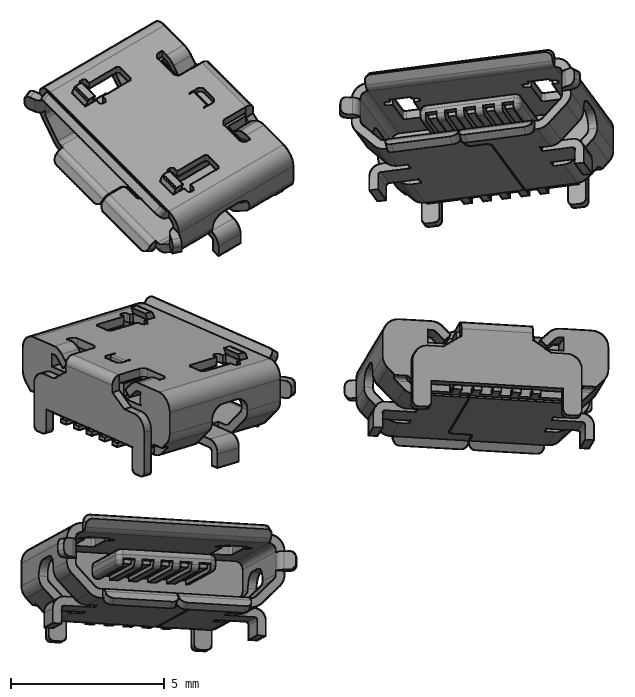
import math

import cadquery as cq

sheet = 0.3
shell_half_width = 3.74
shell_height = 2.45
shell_length = 4.7
bend_radius = 0.55
inner_bend_radius = bend_radius - sheet
lower_corner_z = 0.92
wall_slope = 45.0
bore_top = shell_height - sheet
bore_bottom = sheet
setback_ratio = math.tan(math.radians(wall_slope / 2))
floor_half_width = shell_half_width - lower_corner_z / math.tan(math.radians(wall_slope))
floor_tangent_x = floor_half_width - bend_radius * setback_ratio

lip_angle = 52.8
lip_length = 0.314
top_lip_half_width = 3.19
top_lip_corner = 0.2
bottom_lip_half_width = 2.5
bottom_lip_corner = 0.24
side_lip_angle = 67.0
side_lip_length = 0.391
side_lip_width = 0.61
side_lip_corner = 0.2
side_lip_z = 1.555

leg_bottom = -0.6
side_leg_outer_x = 3.657
side_leg_front = 1.69
side_leg_back = 2.602
side_leg_bend = 0.4
leg_root_x = 2.25

cutout_front = 1.398
cutout_back = 2.894
cutout_top = 1.64
cutout_corner = 0.47

seam_gap = 0.03
seam_jog_y = 0.63
seam_jog_x = 0.81
seam_corner = 0.18
floor_end = 4.4
floor_notch_top = 0.527
floor_notch_corner = 0.1

window_center_x = 2.36
window_width = 0.72
window_front = 0.55
window_back = 2.455
window_corner = 0.09
ear_front = 1.0
ear_back = 1.255
ear_width = 1.206
hook_top = 2.69
hook_back_root = 0.86
hook_back_tip = 0.95
hook_front_tip = 0.69
hook_edge_bevel = 0.05

slot_inner_x = 1.186
slot_outer_x = 2.365
slot_front = 3.67
slot_corner = 0.18
tab_front = 3.977
tab_root_x = 2.145
tab_end_x = 1.484
tab_angle = 45.0

latch_half_width = 0.394
latch_slit = 0.03
latch_root = 3.59
latch_window_back = 4.08
latch_corner = 0.16
latch_back = 3.78
latch_bend_start = 3.73
latch_pocket_back = 3.84
latch_pad_top = 2.25
latch_chamfer = 0.05
latch_bottom = 1.96

plate_neck_half_width = 1.187
plate_shoulder_z = 1.906
plate_wing_top = 1.5
plate_wing_inner_x = 1.79
plate_half_width = 2.8
plate_wing_radius = 0.5
plate_leg_width = 0.61
plate_leg_corner = 0.17
plate_back = shell_length + sheet

insulator_front = 3.45
insulator_recess_y = 4.61
insulator_recess_half_width = 1.5
insulator_foot_back = 4.635
insulator_foot_z = 0.065
pocket_inner_x = 1.293
pocket_outer_x = 2.25
pocket_front = 3.885
pocket_floor = 1.7
tongue_half_width = 1.72
tongue_bottom = 1.276
tongue_top = 1.865
tongue_front = 0.9
tongue_rounding = 0.2

contact_count = 5
contact_pitch = 0.652
contact_width = 0.272
contact_thickness = 0.141
contact_bottom = 1.395
contact_setback = 0.2
groove_width = 0.375

max_round = 0.99


def box(x_range, y_range, z_range):
    """Axis-aligned block between the given limits."""
    size = [high - low for low, high in (x_range, y_range, z_range)]
    corner = (x_range[0], y_range[0], z_range[0])
    return cq.Workplane("XY").box(*size, centered=False).translate(corner)


def cross_section(y_back):
    """XZ sketch plane at y_back; extrusions run forward, toward the mouth."""
    return cq.Workplane("XZ", origin=(0, y_back, 0))


def mirror_pair(body):
    """The body together with its mirror image about x = 0."""
    return body.union(body.mirror("YZ"))


def shell_prism(inset, y_start, y_end):
    """Prism with the shell's outer section, shrunk evenly by inset."""
    half = shell_half_width - inset
    diagonal_shift = inset * setback_ratio
    low_z = lower_corner_z + diagonal_shift
    low_x = floor_half_width - diagonal_shift
    outline = [
        (-half, shell_height - inset),
        (half, shell_height - inset),
        (half, low_z),
        (low_x, inset),
        (-low_x, inset),
        (-half, low_z),
    ]
    prism = cross_section(y_end).polyline(outline).close().extrude(y_end - y_start)
    return prism.edges("|Y").fillet(bend_radius - inset)


def flared_lip(root, outward, angle, length, width, corner):
    """Strip bent outward from the mouth; root is the middle of its outer edge at y = 0."""
    forward = cq.Vector(0, -1, 0)
    out = cq.Vector(*outward)
    plane = cq.Plane(origin=root, xDir=forward, normal=forward.cross(out))
    bend = math.radians(angle)
    tip = (length * math.cos(bend), length * math.sin(bend))
    inner_tangent = (sheet * math.sin(bend), -sheet * math.cos(bend))
    arc_middle = (sheet * math.sin(bend / 2), -sheet * math.cos(bend / 2))
    lip = (
        cq.Workplane(plane)
        .lineTo(*tip)
        .lineTo(tip[0] + inner_tangent[0], tip[1] + inner_tangent[1])
        .lineTo(*inner_tangent)
        .threePointArc(arc_middle, (0, -sheet))
        .close()
        .extrude(width / 2, both=True)
    )
    across_sheet = forward * inner_tangent[0] + out * inner_tangent[1]
    return lip.edges(cq.ParallelDirSelector(across_sheet)).fillet(corner)


def mouth_lips():
    """Top lip, two floor lips split by the seam, and one lip on each side."""
    lips = flared_lip(
        (0, 0, shell_height), (0, 0, 1), lip_angle, lip_length, 2 * top_lip_half_width, top_lip_corner
    )
    bottom_width = bottom_lip_half_width - seam_gap / 2
    bottom_center = (bottom_lip_half_width + seam_gap / 2) / 2
    for side in (-1, 1):
        bottom_lip = flared_lip(
            (side * bottom_center, 0, 0), (0, 0, -1), lip_angle, lip_length, bottom_width, bottom_lip_corner
        )
        side_lip = flared_lip(
            (side * shell_half_width, 0, side_lip_z),
            (side, 0, 0),
            side_lip_angle,
            side_lip_length,
            side_lip_width,
            side_lip_corner,
        )
        lips = lips.union(bottom_lip).union(side_lip)
    return lips


def side_cutout():
    """Opening through the +X wall and floor edge, round-cornered at its top."""
    reach = (leg_root_x, shell_half_width + sheet)
    opening = box(reach, (cutout_front, cutout_back), (-sheet, cutout_top))
    return opening.edges("|X and >Z").fillet(cutout_corner)


def side_leg():
    """Floor strip running out through the +X cutout and bending down to the board."""
    inner_x = side_leg_outer_x - sheet
    outline = [
        (leg_root_x, 0),
        (leg_root_x, sheet),
        (side_leg_outer_x, sheet),
        (side_leg_outer_x, leg_bottom),
        (inner_x, leg_bottom),
        (inner_x, 0),
    ]
    leg = cross_section(side_leg_back).polyline(outline).close().extrude(side_leg_back - side_leg_front)
    leg = leg.edges("|Y and >X and >Z").fillet(side_leg_bend)
    inner_corner = cq.NearestToPointSelector((inner_x, (side_leg_front + side_leg_back) / 2, 0))
    return leg.edges(inner_corner).fillet(side_leg_bend - sheet)


def floor_seam():
    """Narrow gap along the floor with one rounded sideways jog."""
    half = seam_gap / 2
    near = seam_jog_y - half
    far = seam_jog_y + half
    seam = (
        cq.Workplane("XY")
        .polyline(
            [
                (-half, 0),
                (half, 0),
                (half, near),
                (seam_jog_x + half, near),
                (seam_jog_x + half, floor_end),
                (seam_jog_x - half, floor_end),
                (seam_jog_x - half, far),
                (-half, far),
            ]
        )
        .close()
        .extrude(sheet)
    )
    for x, y, radius in (
        (half, near, seam_corner - half),
        (-half, far, seam_corner + half),
        (seam_jog_x - half, far, seam_corner - half),
        (seam_jog_x + half, near, seam_corner + half),
    ):
        seam = seam.edges(cq.NearestToPointSelector((x, y, sheet / 2))).fillet(radius)
    return seam


def floor_notch():
    """Clearance that ends the floor ahead of the rear plate."""
    span = (-shell_half_width, shell_half_width)
    notch = box(span, (floor_end, plate_back), (-sheet, floor_notch_top))
    return notch.edges("|X and >Z and <Y").fillet(floor_notch_corner)


def spring_window():
    """Roof window at +X with an ear on each side."""
    half = window_width / 2
    roof = (bore_top, shell_height)
    window = box(
        (window_center_x - half, window_center_x + half), (window_front, window_back), roof
    )
    window = window.edges("|Z and >Y").fillet(window_corner)
    ears = box(
        (window_center_x - ear_width / 2, window_center_x + ear_width / 2), (ear_front, ear_back), roof
    )
    return window.union(ears.edges("|Z").fillet(window_corner))


def spring_hook():
    """Hook rising from the front edge of the +X window and leaning rearward."""
    return (
        cq.Workplane("YZ", origin=(window_center_x, 0, 0))
        .moveTo(window_front, bore_top)
        .lineTo(window_front, shell_height)
        .lineTo(hook_front_tip - hook_edge_bevel, hook_top - hook_edge_bevel)
        .lineTo(hook_front_tip, hook_top)
        .lineTo(hook_back_tip, hook_top)
        .lineTo(hook_back_root, shell_height)
        .lineTo(hook_back_root, bore_top)
        .close()
        .extrude(window_width / 2, both=True)
    )


def roof_slot():
    """Slot at +X that frees the bent-down tab on its inner and front sides."""
    slot = box((slot_inner_x, slot_outer_x), (slot_front, shell_length), (bore_top, shell_height))
    slot = slot.edges("|Z and <Y").fillet(slot_corner)
    kept_roof = box((tab_root_x, slot_outer_x), (tab_front, shell_length), (bore_top, shell_height))
    return slot.cut(kept_roof)


def roof_tab():
    """Tab at +X curling down toward the middle, then running straight at the tab angle."""
    slope = math.radians(tab_angle)

    def on_bend(radius, angle):
        x = tab_root_x - radius * math.sin(angle)
        z = bore_top - inner_bend_radius + radius * math.cos(angle)
        return (x, z)

    outer_tangent = on_bend(bend_radius, slope)
    outer_end = (tab_end_x, outer_tangent[1] - (outer_tangent[0] - tab_end_x) * math.tan(slope))
    inner_end = (outer_end[0] + sheet * math.sin(slope), outer_end[1] - sheet * math.cos(slope))
    return (
        cross_section(shell_length)
        .moveTo(tab_root_x, shell_height)
        .threePointArc(on_bend(bend_radius, slope / 2), outer_tangent)
        .lineTo(*outer_end)
        .lineTo(*inner_end)
        .lineTo(*on_bend(inner_bend_radius, slope))
        .threePointArc(on_bend(inner_bend_radius, slope / 2), (tab_root_x, bore_top))
        .close()
        .extrude(shell_length - tab_front)
    )


def latch_window():
    """Roof opening around the central latch, round-cornered at its rear."""
    opening = box(
        (-latch_half_width, latch_half_width), (latch_root, latch_window_back), (bore_top, shell_height)
    )
    return opening.edges("|Z and >Y").fillet(latch_corner)


def latch():
    """Central roof tab bent straight down behind its hinge line."""
    half = latch_half_width - latch_slit
    outer_radius = latch_back - latch_bend_start
    flat = box((-half, half), (latch_root, latch_back), (bore_top, shell_height))
    flat = flat.edges("|X and >Y and >Z").fillet(outer_radius)
    down = box((-half, half), (latch_root, latch_back), (latch_bottom, bore_top))
    down = down.edges("|X and <Z and <Y").chamfer(latch_chamfer)
    return flat.union(down)


def rear_plate():
    """Plate hanging from the roof, with a wing and a solder leg on each side."""
    leg_inner_x = plate_half_width - plate_leg_width
    half_outline = [
        (0, shell_height),
        (plate_neck_half_width, shell_height),
        (plate_neck_half_width, plate_shoulder_z),
        (plate_wing_inner_x, plate_wing_top),
        (plate_half_width, plate_wing_top),
        (plate_half_width, leg_bottom),
        (leg_inner_x, leg_bottom),
        (leg_inner_x, bore_bottom),
        (0, bore_bottom),
    ]
    half = cross_section(plate_back).polyline(half_outline).close().extrude(sheet)
    wing_corner = cq.NearestToPointSelector((plate_half_width, plate_back - sheet / 2, plate_wing_top))
    half = half.edges(wing_corner).fillet(plate_wing_radius)
    half = half.faces("<Z").edges("|Y").fillet(plate_leg_corner)
    plate = mirror_pair(half)
    return plate.edges("|X and >Y and >Z").fillet(max_round * sheet)


def insulator_body():
    """Plastic block filling the rear of the shell, pocketed for the tabs and the latch."""
    body = shell_prism(sheet, insulator_front, shell_length)
    foot_span = (-floor_tangent_x, floor_tangent_x)
    body = body.union(box(foot_span, (floor_end, insulator_foot_back), (insulator_foot_z, bore_bottom)))
    pocket = box(
        (pocket_inner_x, pocket_outer_x), (pocket_front, shell_length), (pocket_floor, bore_top)
    )
    recess_span = (-insulator_recess_half_width, insulator_recess_half_width)
    recess = box(recess_span, (insulator_recess_y, shell_length), (insulator_foot_z, bore_top))
    latch_span = (-latch_half_width, latch_half_width)
    latch_pocket = box(latch_span, (insulator_front, latch_pocket_back), (tongue_top, bore_top))
    pad = box(latch_span, (latch_pocket_back, latch_window_back), (bore_top, latch_pad_top))
    pad = pad.edges("|Z and >Y").fillet(latch_corner)
    return body.cut(mirror_pair(pocket)).cut(recess).cut(latch_pocket).union(pad)


def tongue():
    """Contact tongue rounded on its front and sides, grooved underneath for each contact."""
    span = (-tongue_half_width, tongue_half_width)
    blade = box(span, (tongue_front, insulator_front), (tongue_bottom, tongue_top))
    blade = blade.edges("|Y").fillet(tongue_rounding)
    blade = blade.faces("<Y").edges().fillet(max_round * tongue_rounding)
    half_groove = groove_width / 2
    for x in contact_positions():
        groove = box(
            (x - half_groove, x + half_groove),
            (tongue_front, insulator_front),
            (tongue_bottom, contact_bottom + contact_thickness),
        )
        blade = blade.cut(groove)
    return blade


def contact_positions():
    """X centers of the contacts, evenly spaced about the middle."""
    return [(index - (contact_count - 1) / 2) * contact_pitch for index in range(contact_count)]


def contacts():
    """Contact strips along the tongue and their solder tails at the rear."""
    half = contact_width / 2
    strips = cq.Workplane("XY")
    for x in contact_positions():
        span = (x - half, x + half)
        strip = box(
            span,
            (tongue_front + contact_setback, insulator_front),
            (contact_bottom, contact_bottom + contact_thickness),
        )
        tail = box(
            span, (floor_end, plate_back), (insulator_foot_z, insulator_foot_z + contact_thickness)
        )
        strips = strips.add(strip).add(tail)
    return strips.combine()


def shell():
    """Formed sheet-metal shell with all of its openings, lips, legs and tabs."""
    body = shell_prism(0, 0, shell_length).cut(shell_prism(sheet, 0, shell_length))
    body = body.union(mouth_lips())
    for opening in (side_cutout(), spring_window(), roof_slot()):
        body = body.cut(mirror_pair(opening))
    for opening in (floor_seam(), floor_notch(), latch_window()):
        body = body.cut(opening)
    roof_tab_space = box((tab_end_x, tab_root_x), (tab_front, shell_length), (bore_top, shell_height))
    body = body.cut(mirror_pair(roof_tab_space))
    for feature in (side_leg(), spring_hook(), roof_tab()):
        body = body.union(mirror_pair(feature))
    return body.union(latch()).union(rear_plate())


result = shell().union(insulator_body()).union(tongue()).union(contacts())